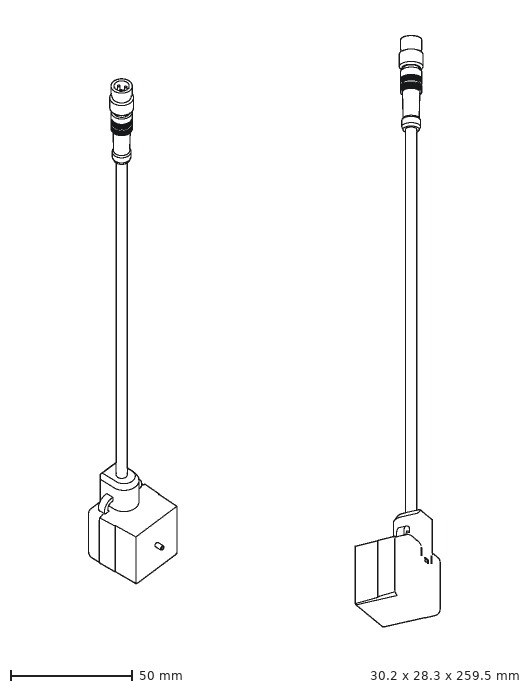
import cadquery as cq
import math

TOTAL_HEIGHT = 259.5
HOUSING_WIDTH = 28.3
HOUSING_HEIGHT = 26.7
HOUSING_DEPTH = 26.7
AXIS_X = 7.3

COVER_BACK = 7.5
MIDDLE_BACK = 15.8
SEAM_STEP = 0.3
SIDE_DRAFT = 0.5
COVER_RADIUS = 2.9
COVER_SIDE_RADIUS = 2.3
BEVEL_INNER_Y = 12.0
BOTTOM_BEVEL_RISE = 1.0
TOP_BEVEL_DROP = 0.4

NECK_BOTTOM = 23.3
NECK_TOP = 41.0
NECK_RADIUS = 6.2
NECK_CENTER_X = 8.5
NECK_CORNER_RADIUS = 1.5
NECK_TOP_INSET = 1.5
NECK_TOP_DROP = 2.3
NECK_FRONT_EDGE_CHAMFER = 0.8

EDGE_GROOVE_Y = 4.5
EDGE_GROOVE_WIDTH = 0.4
EDGE_GROOVE_DEPTH = 0.3
EDGE_GROOVE_BOTTOM = 20.0
EDGE_GROOVE_TOP = NECK_BOTTOM

SLOT_WIDTH = 3.0
SLOT_HEIGHT = 1.5
SLOT_DEPTH = 0.5
SLOT_CENTER_Z = 19.5

EAR_FRONT = 4.7
EAR_THICKNESS = 3.5
EAR_RADIUS = 4.5
EAR_HOLE_RADIUS = 2.3
EAR_CENTER_Y = 7.0
EAR_CENTER_Z = 28.5

PIN_RADIUS = 1.0
PIN_LENGTH = 3.5
PIN_CENTER_Z = 13.7
PIN_CHAMFER = 0.3

CABLE_RADIUS = 2.3
PLUG_BOTTOM = 218.5
PLUG_RADIUS = 4.5
SOCKET_RADIUS = 3.0
SOCKET_DEPTH = 5.2
CONTACT_COUNT = 3
FIRST_CONTACT_ANGLE = 60.0
CONTACT_RADIUS = 0.5
CONTACT_CIRCLE_RADIUS = 1.69
CONTACT_LENGTH = 4.2
GROOVE_DEPTH = 0.4
GROOVE_WIDTH = 0.5
GROOVE_BOTTOMS = (236.0, 237.0, 240.0, 241.0)

PLUG_PROFILE = (
    (3.5, PLUG_BOTTOM),
    (4.0, 219.7),
    (4.0, 222.5),
    (3.5, 223.4),
    (3.6, 235.5),
    (PLUG_RADIUS, 235.5),
    (PLUG_RADIUS, 238.1),
    (3.6, 238.1),
    (3.6, 239.5),
    (PLUG_RADIUS, 239.5),
    (PLUG_RADIUS, 245.0),
    (3.5, 245.0),
    (3.5, 246.5),
    (4.0, 246.5),
    (5.0, 247.2),
    (5.0, 253.0),
    (4.0, 253.5),
    (PLUG_RADIUS, 255.3),
    (PLUG_RADIUS, TOTAL_HEIGHT),
)


def block(x_front, x_back, width, z_bottom, z_top):
    """Box centred on y = 0."""
    size = (x_back - x_front, width, z_top - z_bottom)
    return cq.Workplane("XY").box(*size, centered=(False, True, False)).translate((x_front, 0, z_bottom))


def cylinder_z(radius, z_bottom, z_top, x, y=0.0):
    return cq.Workplane("XY", origin=(x, y, z_bottom)).circle(radius).extrude(z_top - z_bottom)


def make_cover():
    """Front part of the housing, rounded on its face and on its four long edges."""
    cover = block(0, COVER_BACK, HOUSING_WIDTH, 0, HOUSING_HEIGHT)
    cover = cover.edges("|X").fillet(COVER_SIDE_RADIUS)
    return cover.faces("<X").edges().fillet(COVER_RADIUS)


def make_rear_section(x_front, x_back, front_half_width):
    """Housing section with drafted sides and bevelled long edges."""
    narrow = front_half_width - SIDE_DRAFT
    plan = [
        (x_front, -front_half_width),
        (x_back, -narrow),
        (x_back, narrow),
        (x_front, front_half_width),
    ]
    outer = HOUSING_WIDTH / 2
    right_half = [
        (BEVEL_INNER_Y, 0),
        (outer, BOTTOM_BEVEL_RISE),
        (outer, HOUSING_HEIGHT - TOP_BEVEL_DROP),
        (BEVEL_INNER_Y, HOUSING_HEIGHT),
    ]
    left_half = [(-y, z) for y, z in reversed(right_half)]
    section = cq.Workplane("XY").polyline(plan).close().extrude(HOUSING_HEIGHT)
    cross_section = cq.Workplane("YZ").polyline(right_half + left_half).close().extrude(HOUSING_DEPTH)
    return section.intersect(cross_section)


def make_neck():
    """Cable neck: flat front, round back, bevelled top rim except along the front."""
    overhang = 2 * NECK_TOP_INSET
    shoulder = NECK_TOP - NECK_TOP_DROP

    def outline(z):
        return (
            cq.Workplane("XY", origin=(0, 0, z))
            .moveTo(-overhang, -NECK_RADIUS)
            .lineTo(NECK_CENTER_X, -NECK_RADIUS)
            .threePointArc((NECK_CENTER_X + NECK_RADIUS, 0), (NECK_CENTER_X, NECK_RADIUS))
            .lineTo(-overhang, NECK_RADIUS)
            .close()
        )

    taper = math.degrees(math.atan2(NECK_TOP_INSET, NECK_TOP_DROP))
    shaft = outline(NECK_BOTTOM).extrude(shoulder - NECK_BOTTOM)
    rim = outline(shoulder).extrude(NECK_TOP_DROP, taper=taper)
    trim = block(0, HOUSING_DEPTH, HOUSING_WIDTH, NECK_BOTTOM, NECK_TOP)
    neck = shaft.union(rim).intersect(trim)
    neck = neck.faces("<X").edges("|Z").fillet(NECK_CORNER_RADIUS)
    return neck.faces("<X").edges(">Z").chamfer(NECK_FRONT_EDGE_CHAMFER)


def make_ear(side):
    """Ring standing on the housing beside the neck; side is +1 or -1."""
    plane = cq.Workplane("YZ", origin=(EAR_FRONT, side * EAR_CENTER_Y, EAR_CENTER_Z))
    return plane.circle(EAR_RADIUS).circle(EAR_HOLE_RADIUS).extrude(EAR_THICKNESS)


def make_pin():
    pin = cq.Workplane("YZ", origin=(HOUSING_DEPTH, 0, PIN_CENTER_Z)).circle(PIN_RADIUS).extrude(PIN_LENGTH)
    return pin.faces(">X").chamfer(PIN_CHAMFER)


def make_plug():
    """Turned plug body with grip grooves, an open socket and round contacts."""
    profile = [(0, PLUG_BOTTOM), *PLUG_PROFILE, (0, TOTAL_HEIGHT)]
    plug = cq.Workplane("XZ").polyline(profile).close().revolve(360, (0, 0, 0), (0, 1, 0))
    plug = plug.translate((AXIS_X, 0, 0))
    for bottom in GROOVE_BOTTOMS:
        groove = (
            cq.Workplane("XY", origin=(AXIS_X, 0, bottom))
            .circle(PLUG_RADIUS)
            .circle(PLUG_RADIUS - GROOVE_DEPTH)
            .extrude(GROOVE_WIDTH)
        )
        plug = plug.cut(groove)
    socket_floor = TOTAL_HEIGHT - SOCKET_DEPTH
    plug = plug.cut(cylinder_z(SOCKET_RADIUS, socket_floor, TOTAL_HEIGHT, AXIS_X))
    for index in range(CONTACT_COUNT):
        angle = math.radians(FIRST_CONTACT_ANGLE + index * 360 / CONTACT_COUNT)
        x = AXIS_X + CONTACT_CIRCLE_RADIUS * math.cos(angle)
        y = CONTACT_CIRCLE_RADIUS * math.sin(angle)
        plug = plug.union(cylinder_z(CONTACT_RADIUS, socket_floor, socket_floor + CONTACT_LENGTH, x, y))
    return plug


def make_face_cuts():
    """Marker slot and the two neck edge grooves in the front face."""
    slot_bottom = SLOT_CENTER_Z - SLOT_HEIGHT / 2
    cuts = block(0, SLOT_DEPTH, SLOT_WIDTH, slot_bottom, slot_bottom + SLOT_HEIGHT)
    groove = block(0, EDGE_GROOVE_DEPTH, EDGE_GROOVE_WIDTH, EDGE_GROOVE_BOTTOM, EDGE_GROOVE_TOP)
    for side in (1, -1):
        cuts = cuts.union(groove.translate((0, side * EDGE_GROOVE_Y, 0)))
    return cuts


middle_half_width = HOUSING_WIDTH / 2 - SEAM_STEP
back_half_width = middle_half_width - SIDE_DRAFT - SEAM_STEP
result = make_cover()
result = result.union(make_rear_section(COVER_BACK, MIDDLE_BACK, middle_half_width))
result = result.union(make_rear_section(MIDDLE_BACK, HOUSING_DEPTH, back_half_width))
for ear_side in (1, -1):
    result = result.union(make_ear(ear_side))
result = result.union(make_neck()).union(make_pin())
result = result.cut(make_face_cuts())
result = result.union(cylinder_z(CABLE_RADIUS, NECK_TOP, PLUG_BOTTOM, AXIS_X)).union(make_plug())